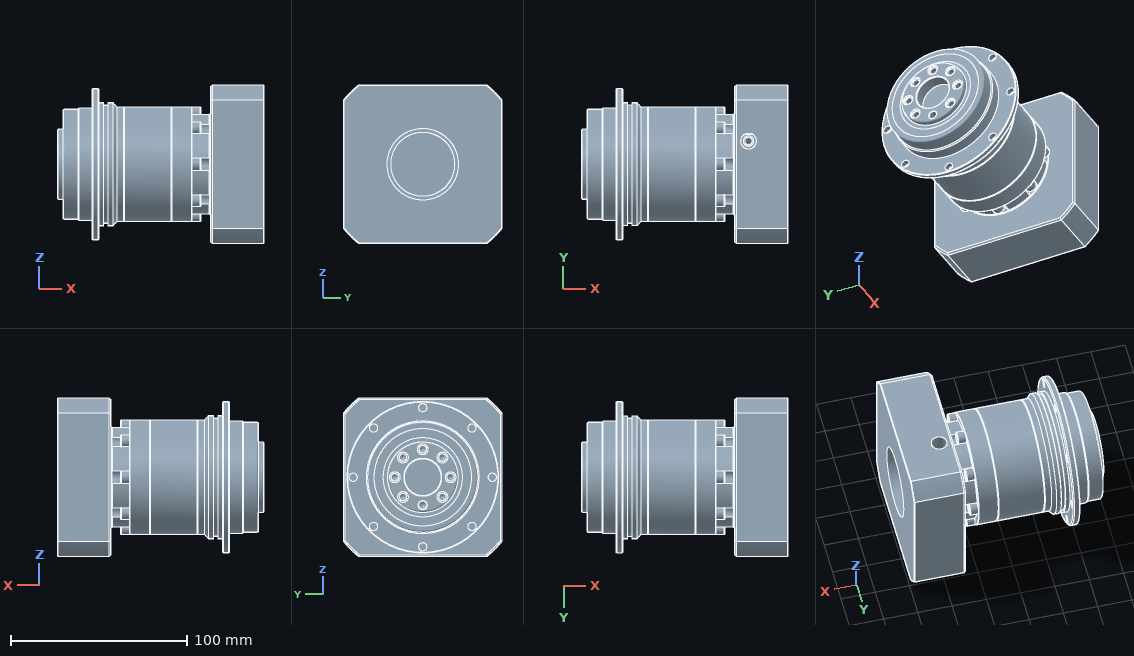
import cadquery as cq
import math


TOTAL_LENGTH = 117.0
HOUSING_FRONT_X = 3.2
PILOT_STEP_X = 11.6
FLANGE_FRONT_X = 19.7
FLANGE_BACK_X = 23.6
COLLAR_END_X = 31.4
BODY_END_X = 76.3
BOSS_END_X = 86.1
ADAPTER_FRONT_X = 86.8

OUTPUT_RADIUS = 20.0
OUTPUT_FILLET = 1.0
SHAFT_RADIUS = 22.5
SHAFT_END_X = FLANGE_FRONT_X
CENTER_BORE_RADIUS = 10.4
CENTER_BORE_DEPTH = 8.2
CENTER_BORE_CHAMFER = 0.4
OUTPUT_HOLE_COUNT = 8
OUTPUT_HOLE_CIRCLE = 15.8
THREAD_RADIUS = 2.1
OUTPUT_HOLE_DEPTH = 9.4
THREAD_RECESS_RADIUS = 3.0
THREAD_RECESS_DEPTH = 1.2
DOWEL_INDEX = 6
DOWEL_RADIUS = 2.3
DOWEL_CHAMFER = 0.2
DRILL_TIP_ANGLE = 118.0

SEAL_RADIUS = 27.6
SEAL_WIDTH = 4.7

PILOT_RADIUS = 31.2
PILOT_FILLET = 0.9
REAR_PILOT_RADIUS = 31.9
PILOT_STEP_CHAMFER = REAR_PILOT_RADIUS - PILOT_RADIUS
FLANGE_RADIUS = 42.9
FLANGE_FRONT_CHAMFER = 0.4
FLANGE_BACK_CHAMFER = 0.7
COLLAR_RADIUS = 34.9
BODY_RADIUS = 32.5
COLLAR_CONE_LENGTH = COLLAR_RADIUS - BODY_RADIUS
BODY_END_CHAMFER = 0.2
RING_GROOVE_X = 26.1
RING_GROOVE_WIDTH = 2.5
RING_GROOVE_DEPTH = 1.3
JOINT_GROOVES_X = (37.4, 64.4)
JOINT_GROOVE_WIDTH = 0.5
JOINT_GROOVE_DEPTH = 0.2
MOUNT_HOLE_COUNT = 8
MOUNT_HOLE_CIRCLE = 39.4
MOUNT_HOLE_RADIUS = 2.3

BOSS_RADIUS = 28.5
BOSS_END_CHAMFER = 0.4
SCREW_COUNT = 8
SCREW_HEAD_RADIUS = 3.5
SCREW_HEAD_HEIGHT = 4.9
SCREW_HEAD_CHAMFER = 0.4
SCREW_CIRCLE = BODY_RADIUS - SCREW_HEAD_RADIUS
SCALLOP_RADIUS = 3.7

HUB_RADIUS = 18.1
HUB_END_X = 103.0
CLAMP_X = 94.7
CLAMP_Y = 13.1
CLAMP_SEAT_Z = 6.7
CLAMP_SEAT_RADIUS = 5.8
CLAMP_RECESS_RADIUS = 2.9
CLAMP_RECESS_DEPTH = 2.3
CLAMP_HOLE_RADIUS = 2.1

ADAPTER_SIDE = 90.0
ADAPTER_CORNER_RADIUS = 57.8
ADAPTER_FRONT_CHAMFER = 1.0
ADAPTER_BACK_CHAMFER = 0.4
ADAPTER_BORE_RADIUS = 20.2
ACCESS_HOLE_RADIUS = 4.5


def cylinder_x(start_x, end_x, radius, y=0.0, z=0.0):
    """Cylinder parallel to X between two stations."""
    return cq.Workplane("YZ", origin=(start_x, y, z)).circle(radius).extrude(end_x - start_x)


def cylinder_z(bottom_z, top_z, radius):
    """Cylinder parallel to Z on the clamp screw axis."""
    return cq.Workplane("XY", origin=(CLAMP_X, CLAMP_Y, bottom_z)).circle(radius).extrude(top_z - bottom_z)


def ring_x(start_x, width, outer_radius, inner_radius):
    """Ring around the X axis."""
    end_x = start_x + width
    return cylinder_x(start_x, end_x, outer_radius).cut(cylinder_x(start_x, end_x, inner_radius))


def circle_positions(count, circle_radius):
    """Evenly spaced (y, z) positions around the X axis, starting on +Y."""
    angles = [2 * math.pi * index / count for index in range(count)]
    return [(circle_radius * math.cos(angle), circle_radius * math.sin(angle)) for angle in angles]


def revolve_x(profile, y=0.0, z=0.0):
    """Solid of revolution about a line parallel to X, from (x, radius) points."""
    return (
        cq.Workplane("XY", origin=(0, y, z))
        .polyline(profile)
        .close()
        .revolve(360, (0, 0, 0), (1, 0, 0))
    )


def drilled_hole(radius, depth, y, z):
    """Blind hole from the output face with a conical drill tip."""
    tip_length = radius / math.tan(math.radians(DRILL_TIP_ANGLE / 2))
    return revolve_x([(0, 0), (0, radius), (depth, radius), (depth + tip_length, 0)], y, z)


def dowel_mouth(y, z):
    """Chamfered mouth of the dowel hole."""
    mouth_radius = DOWEL_RADIUS + DOWEL_CHAMFER
    return revolve_x([(0, 0), (0, mouth_radius), (DOWEL_CHAMFER, DOWEL_RADIUS), (DOWEL_CHAMFER, 0)], y, z)


def make_output_flange():
    flange = cylinder_x(0, HOUSING_FRONT_X, OUTPUT_RADIUS).faces("<X").edges().fillet(OUTPUT_FILLET)
    flange = flange.union(cylinder_x(HOUSING_FRONT_X, SHAFT_END_X, SHAFT_RADIUS))

    flange = flange.cut(cylinder_x(0, CENTER_BORE_DEPTH, CENTER_BORE_RADIUS))
    bore_rim = cq.selectors.RadiusNthSelector(0)
    flange = flange.faces("<X").edges(bore_rim).chamfer(CENTER_BORE_CHAMFER)

    for index, (y, z) in enumerate(circle_positions(OUTPUT_HOLE_COUNT, OUTPUT_HOLE_CIRCLE)):
        if index == DOWEL_INDEX:
            flange = flange.cut(drilled_hole(DOWEL_RADIUS, OUTPUT_HOLE_DEPTH, y, z))
            flange = flange.cut(dowel_mouth(y, z))
        else:
            flange = flange.cut(drilled_hole(THREAD_RADIUS, OUTPUT_HOLE_DEPTH, y, z))
            flange = flange.cut(cylinder_x(0, THREAD_RECESS_DEPTH, THREAD_RECESS_RADIUS, y, z))
    return flange


def make_shaft_seal():
    return ring_x(HOUSING_FRONT_X, SEAL_WIDTH, SEAL_RADIUS, SHAFT_RADIUS)


def make_housing_shell():
    """Turned outside of the housing with its mounting flange and grooves."""
    pilot = cylinder_x(HOUSING_FRONT_X, PILOT_STEP_X, PILOT_RADIUS).faces("<X").edges().fillet(PILOT_FILLET)
    rear_pilot = cylinder_x(PILOT_STEP_X, FLANGE_FRONT_X, REAR_PILOT_RADIUS)
    rear_pilot = rear_pilot.faces("<X").edges().chamfer(PILOT_STEP_CHAMFER)
    mount_flange = cylinder_x(FLANGE_FRONT_X, FLANGE_BACK_X, FLANGE_RADIUS)
    mount_flange = mount_flange.faces("<X").edges().chamfer(FLANGE_FRONT_CHAMFER)
    mount_flange = mount_flange.faces(">X").edges().chamfer(FLANGE_BACK_CHAMFER)
    collar_and_body = revolve_x([
        (FLANGE_BACK_X, 0),
        (FLANGE_BACK_X, COLLAR_RADIUS),
        (COLLAR_END_X, COLLAR_RADIUS),
        (COLLAR_END_X + COLLAR_CONE_LENGTH, BODY_RADIUS),
        (BODY_END_X - BODY_END_CHAMFER, BODY_RADIUS),
        (BODY_END_X, BODY_RADIUS - BODY_END_CHAMFER),
        (BODY_END_X, 0),
    ])
    shell = pilot.union(rear_pilot).union(mount_flange).union(collar_and_body)

    groove_floor = COLLAR_RADIUS - RING_GROOVE_DEPTH
    shell = shell.cut(ring_x(RING_GROOVE_X, RING_GROOVE_WIDTH, COLLAR_RADIUS, groove_floor))
    for groove_x in JOINT_GROOVES_X:
        joint_floor = BODY_RADIUS - JOINT_GROOVE_DEPTH
        shell = shell.cut(ring_x(groove_x, JOINT_GROOVE_WIDTH, BODY_RADIUS, joint_floor))
    for y, z in circle_positions(MOUNT_HOLE_COUNT, MOUNT_HOLE_CIRCLE):
        shell = shell.cut(cylinder_x(FLANGE_FRONT_X, FLANGE_BACK_X, MOUNT_HOLE_RADIUS, y, z))
    return shell


def make_rear_boss():
    """Boss behind the body, scalloped around the screw heads that stand in it."""
    boss = cylinder_x(BODY_END_X, BOSS_END_X, BOSS_RADIUS).faces(">X").edges().chamfer(BOSS_END_CHAMFER)
    head_end_x = BODY_END_X + SCREW_HEAD_HEIGHT
    for y, z in circle_positions(SCREW_COUNT, SCREW_CIRCLE):
        boss = boss.cut(cylinder_x(BODY_END_X, BOSS_END_X, SCALLOP_RADIUS, y, z))
        head = cylinder_x(BODY_END_X, head_end_x, SCREW_HEAD_RADIUS, y, z)
        boss = boss.union(head.faces(">X").edges().chamfer(SCREW_HEAD_CHAMFER))
    return boss


def make_input_hub():
    """Clamping hub with a flat screw seat and a tangential screw hole."""
    hub = cylinder_x(BOSS_END_X, HUB_END_X, HUB_RADIUS)
    hub = hub.cut(cylinder_z(CLAMP_SEAT_Z, HUB_RADIUS, CLAMP_SEAT_RADIUS))
    hub = hub.cut(cylinder_z(CLAMP_SEAT_Z - CLAMP_RECESS_DEPTH, CLAMP_SEAT_Z, CLAMP_RECESS_RADIUS))
    return hub.cut(cylinder_z(-HUB_RADIUS, CLAMP_SEAT_Z, CLAMP_HOLE_RADIUS))


def make_housing():
    housing = make_housing_shell().union(make_rear_boss()).union(make_input_hub())
    housing = housing.cut(cylinder_x(HOUSING_FRONT_X, SHAFT_END_X, SHAFT_RADIUS))
    return housing.cut(cylinder_x(HOUSING_FRONT_X, HOUSING_FRONT_X + SEAL_WIDTH, SEAL_RADIUS))


def make_motor_adapter():
    plate_length = TOTAL_LENGTH - ADAPTER_FRONT_X
    adapter = cq.Workplane("YZ", origin=(ADAPTER_FRONT_X, 0, 0)).rect(ADAPTER_SIDE, ADAPTER_SIDE)
    adapter = adapter.extrude(plate_length)
    adapter = adapter.intersect(cylinder_x(ADAPTER_FRONT_X, TOTAL_LENGTH, ADAPTER_CORNER_RADIUS))
    adapter = adapter.faces("<X").edges().chamfer(ADAPTER_FRONT_CHAMFER)
    adapter = adapter.faces(">X").edges().chamfer(ADAPTER_BACK_CHAMFER)

    adapter = adapter.union(cylinder_x(BOSS_END_X, ADAPTER_FRONT_X, BOSS_RADIUS))
    adapter = adapter.cut(cylinder_x(BOSS_END_X, TOTAL_LENGTH, ADAPTER_BORE_RADIUS))
    return adapter.cut(cylinder_z(0, ADAPTER_SIDE / 2, ACCESS_HOLE_RADIUS))


output_flange = make_output_flange()
shaft_seal = make_shaft_seal()
housing = make_housing()
motor_adapter = make_motor_adapter()

result = cq.Compound.makeCompound([
    output_flange.val(),
    shaft_seal.val(),
    housing.val(),
    motor_adapter.val(),
])